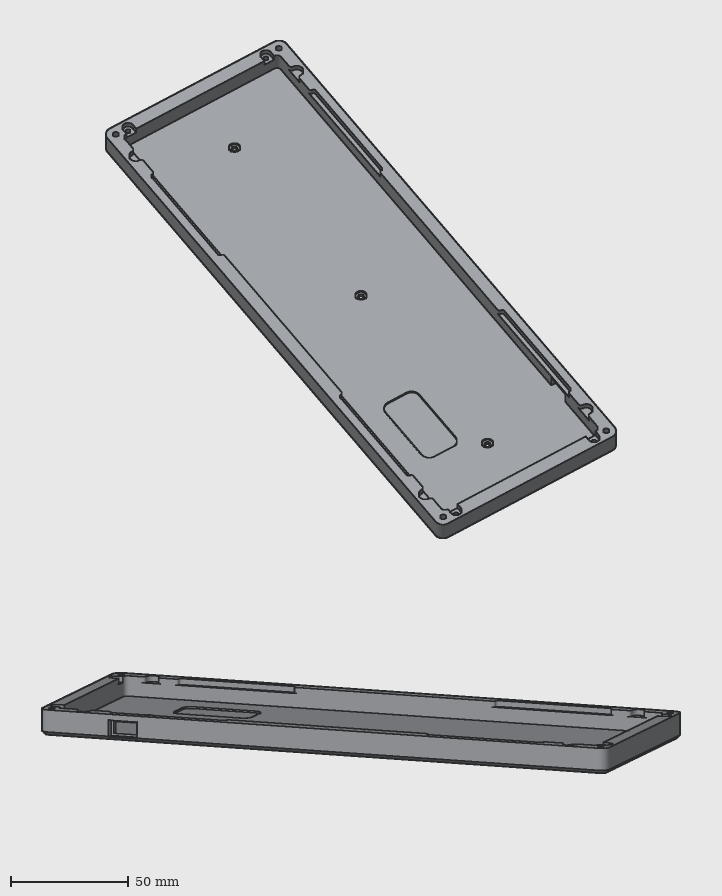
import cadquery as cq

length = 259.0
width = 92.2
height = 11.1
corner_radius = 4.0
bottom_chamfer = 1.5
end_wall = 6.5
long_wall = 6.0
floor = 2.3
cavity_radius = 2.0

screw_diameter = 2.5
screw_inset = 4.1
screw_x = length / 2 - screw_inset
screw_y = width / 2 - screw_inset

inner_x = length / 2 - end_wall
inner_y = width / 2 - long_wall

clip_width = 5.0
clip_depth = 2.5
clip_y = 35.5
clip_x = 125.5
pilot_diameter = 2.0
pilot_depth = 2.5

finger_diameter = 5.7
finger_mouth_radius = 1.3
finger_depth = 2.5
finger_x = 110.8

ledge_length = 52.8
ledge_x = 72.2
ledge_depth = 2.5
ledge_corner_radius = 1.0
ledge_mouth_radius = 1.0

mount_spacing = 96.8
mount_diameter = 2.5
mount_counterbore = 5.0
mount_counterbore_depth = 0.8

label_length = 35.5
label_width = 17.3
label_x = 72.5
label_y = -18.0
label_depth = 0.8
label_radius = 4.0

port_x = 91.5
port_width = 11.0
port_height = 5.2
plug_margin = 1.0
plug_depth = 3.4


def mirrored(x, y):
    """The four points mirrored about both centre planes."""
    return [(sx * x, sy * y) for sx in (-1, 1) for sy in (-1, 1)]


def rounded_block(x_size, y_size, z_size, radius, center):
    """Upright block with rounded vertical edges; center is the middle of its base."""
    block = cq.Workplane("XY").box(x_size, y_size, z_size, (True, True, False))
    return block.edges("|Z").fillet(radius).translate(center)


def cylinders(diameter, depth, top, points):
    """Vertical cylinders reaching down from the given level."""
    return cq.Workplane("XY", origin=(0, 0, top)).pushPoints(points).circle(diameter / 2).extrude(-depth)


def tray():
    body = rounded_block(length, width, height, corner_radius, (0, 0, 0))
    body = body.faces("<Z").edges().chamfer(bottom_chamfer)
    cavity = rounded_block(2 * inner_x, 2 * inner_y, height, cavity_radius, (0, 0, floor))
    return body.cut(cavity)


def clip_pockets():
    points = mirrored(clip_x, clip_y)
    round_ends = cylinders(clip_width, clip_depth, height, points)
    bands = (
        cq.Workplane("XY", origin=(0, 0, height))
        .pushPoints([(0, -clip_y), (0, clip_y)])
        .rect(2 * clip_x, clip_width)
        .extrude(-clip_depth)
    )
    pilots = cylinders(pilot_diameter, pilot_depth, height - clip_depth, points)
    return round_ends.union(bands).union(pilots)


def wall_notches(center_x, opening, corner, mouth, depth):
    """Four notches in the long walls, with round inner corners and mouths that flare into the wall face."""
    half = opening / 2
    back_y = inner_y + mouth + corner
    outline = (
        cq.Workplane("XY", origin=(0, 0, height))
        .moveTo(-half - mouth, inner_y)
        .radiusArc((-half, inner_y + mouth), -mouth)
        .radiusArc((corner - half, back_y), corner)
    )
    if half > corner:
        outline = outline.lineTo(half - corner, back_y)
    notch = (
        outline.radiusArc((half, inner_y + mouth), corner)
        .radiusArc((half + mouth, inner_y), -mouth)
        .close()
        .extrude(-depth)
    )
    pair = notch.translate((-center_x, 0, 0)).union(notch.translate((center_x, 0, 0)))
    return pair.union(pair.mirror("XZ"))


def finger_pockets():
    return wall_notches(finger_x, finger_diameter, finger_diameter / 2, finger_mouth_radius, finger_depth)


def wall_ledges():
    return wall_notches(ledge_x, ledge_length, ledge_corner_radius, ledge_mouth_radius, ledge_depth)


def mount_holes():
    points = [(-mount_spacing, 0), (0, 0), (mount_spacing, 0)]
    holes = cylinders(mount_diameter, floor, floor, points)
    return holes.union(cylinders(mount_counterbore, mount_counterbore_depth, floor, points))


def label_recess():
    return rounded_block(
        label_length, label_width, label_depth, label_radius, (label_x, label_y, floor - label_depth)
    )


def cable_port():
    middle_z = floor + port_height / 2
    port = cq.Workplane("XY").box(port_width, 2 * long_wall, port_height)
    recess = cq.Workplane("XY").box(
        port_width + 2 * plug_margin, 2 * plug_depth, port_height + 2 * plug_margin
    )
    return port.union(recess).translate((port_x, width / 2, middle_z))


result = tray().cut(cylinders(screw_diameter, height, height, mirrored(screw_x, screw_y)))
for feature in (clip_pockets, finger_pockets, wall_ledges, mount_holes, label_recess, cable_port):
    result = result.cut(feature())